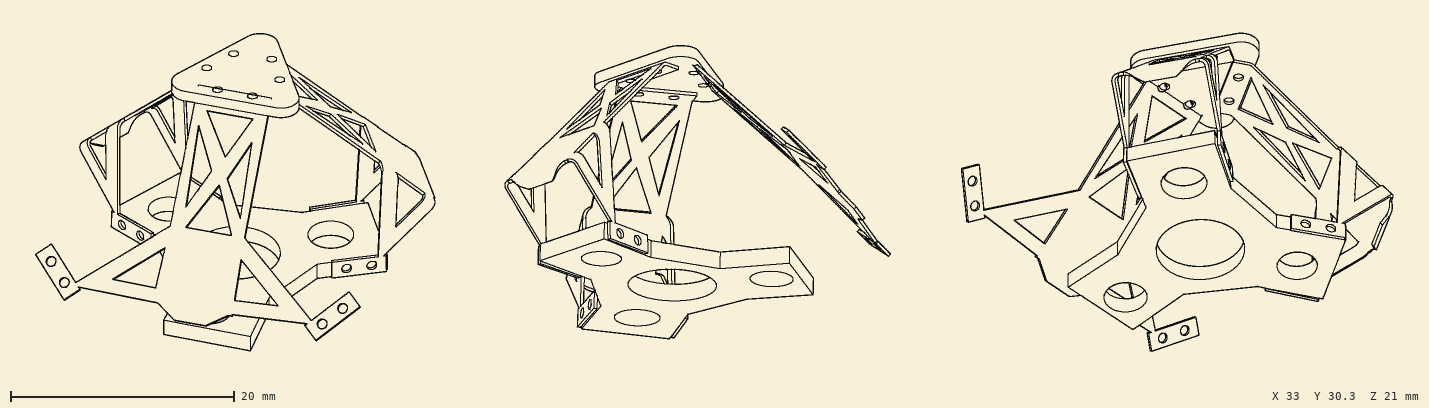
import cadquery as cq
import math

PLATE_TOP = 21.0
PLATE_THICKNESS = 1.05
PLATE_BOTTOM = PLATE_TOP - PLATE_THICKNESS
PLATE_INRADIUS = 4.1
PLATE_CORNER_RADIUS = 1.62

SCREW_DIAMETER = 0.9
SCREW_PITCH = 3.27
SCREW_OFFSET = 0.115
SCREW_RADIAL = 2.97

SHEET = 0.3
OUTER_BEND = 0.73
NEUTRAL_BEND = 0.512
WING_ANGLE = 90
LIP_ANGLE = 90
TAB_ANGLE = 45
LEG_SLOPE = 45
BEND_SECTIONS = 6
QUARTER_BEND = NEUTRAL_BEND * math.pi / 2
EIGHTH_BEND = QUARTER_BEND / 2

PANEL_TOP_LEFT = (-3.37, 0)
PANEL_TOP_RIGHT = (3.5, 0)
WING_ROOT_RIGHT = (3.8, 11.03)
WING_ROOT_LEFT = (-3.15, 11.15)
PANEL_BOTTOM_RIGHT = (4.2, 18.2)
PANEL_BOTTOM_LEFT = (-3.27, 18.2)
WINDOWS = [
    [(-2.1, 0.3), (2.2, 0.3), (0.45, 4.15)],
    [(-2.57, 1.75), (-0.5, 5.6), (-2.1, 9.25)],
    [(2.57, 2.4), (1.05, 6.05), (3.05, 9.37)],
    [(0.45, 6.75), (-1.72, 11.03), (2.57, 11.03)],
]

TAB_LENGTH = 1.45
TAB_INNER_END = 1.98
FLAT_TAB_RADIAL = 2.77
TAB_DEVELOPED = TAB_LENGTH + EIGHTH_BEND

LIP_CENTER = 0.53
LIP_ROOT_HALF = 3.35
LIP_TAPER = 1.45
LIP_LENGTH = 1.3

ARM_SLOPE = 0.92
UPPER_ARM = (0, 2.0)
LOWER_ARM = (5.75, 7.03)
FOOT_CENTER = (9.15, 6.07)
FOOT_LENGTH = 5.0
FOOT_WIDTH = 1.72
FOOT_HOLE_PITCH = 2.3
FOOT_LEAN = 45

BASE_THICKNESS = 1.6
BASE_HEIGHT = 0.255
BASE_TILT_X = 1.0
BASE_TILT_Y = 0.45
ARM_OUTLINE = [(-3.6, -5.95), (-3.63, -12.38), (4.52, -12.4), (4.35, -6.3)]
BASE_BORE = 7.92
BASE_BORE_CENTER = (-0.5, -0.7)
ARM_HOLES = [(3.85, -0.13, -9.8), (4.1, 6.77, 4.5), (3.6, -8.25, 3.8)]

ARM_COUNT = 3
ARM_TURN = 360 / ARM_COUNT


def bend_zone(root, end, angle, length, folded):
    """Strip from the bend line to the flat of a flap; root and end are its spans along the bend."""
    if not folded:
        outline = [(0, root[0]), (length, end[0]), (length, end[1]), (0, root[1])]
        return cq.Workplane("XY").polyline(outline).close().extrude(SHEET)
    wires = []
    for i in range(BEND_SECTIONS + 1):
        part = i / BEND_SECTIONS
        turn = math.radians(angle * part)
        low = root[0] + (end[0] - root[0]) * part
        high = root[1] + (end[1] - root[1]) * part
        corners = []
        for radius, along in [
            (OUTER_BEND, low),
            (OUTER_BEND, high),
            (OUTER_BEND - SHEET, high),
            (OUTER_BEND - SHEET, low),
        ]:
            out = radius * math.sin(turn)
            depth = OUTER_BEND - radius * math.cos(turn)
            corners.append(cq.Vector(out, along, depth))
        wires.append(cq.Wire.makePolygon(corners, close=True))
    return cq.Workplane(cq.Solid.makeLoft(wires))


def place_flat(flat, angle, length, folded):
    """Move a flap's flat part from the bend line to the far side of its bend."""
    if not folded:
        return flat.translate((length, 0, 0))
    turn = math.radians(angle)
    turned = flat.rotate((0, 0, 0), (0, 1, 0), -angle)
    return turned.translate((OUTER_BEND * math.sin(turn), 0, OUTER_BEND * (1 - math.cos(turn))))


def make_wing(folded):
    """Right-hand wing with its bend line on the y axis, reaching out along +x."""
    rise = ARM_SLOPE * QUARTER_BEND
    upper_end = (UPPER_ARM[0] + rise, UPPER_ARM[1] + rise)
    upper = bend_zone(UPPER_ARM, upper_end, WING_ANGLE, QUARTER_BEND, folded)
    lower = bend_zone(LOWER_ARM, LOWER_ARM, WING_ANGLE, QUARTER_BEND, folded)

    foot_sum = FOOT_CENTER[0] + FOOT_CENTER[1]
    upper_reach = (foot_sum - UPPER_ARM[0]) / (1 + ARM_SLOPE)
    apex_out = (LOWER_ARM[0] - UPPER_ARM[1]) / ARM_SLOPE
    inner_edge = foot_sum - FOOT_WIDTH / 2 * math.sqrt(2)
    arms = (
        cq.Workplane("XY")
        .polyline([
            (QUARTER_BEND, upper_end[0]),
            (upper_reach, foot_sum - upper_reach),
            (foot_sum - LOWER_ARM[1], LOWER_ARM[1]),
            (inner_edge - LOWER_ARM[1], LOWER_ARM[1]),
            (QUARTER_BEND, LOWER_ARM[1]),
            (QUARTER_BEND, LOWER_ARM[0]),
            (apex_out, LOWER_ARM[0]),
            (QUARTER_BEND, upper_end[1]),
        ])
        .close()
        .extrude(SHEET)
    )
    foot = cq.Workplane("XY").rect(FOOT_LENGTH, FOOT_WIDTH).extrude(SHEET)
    foot_holes = (
        cq.Workplane("XY")
        .pushPoints([(-FOOT_HOLE_PITCH / 2, 0), (FOOT_HOLE_PITCH / 2, 0)])
        .circle(SCREW_DIAMETER / 2)
        .extrude(SHEET)
    )
    foot = foot.rotate((0, 0, 0), (0, 0, 1), -FOOT_LEAN).translate(FOOT_CENTER + (0,))
    foot_holes = foot_holes.rotate((0, 0, 0), (0, 0, 1), -FOOT_LEAN).translate(FOOT_CENTER + (0,))
    flat = arms.union(foot).cut(foot_holes)
    flat = flat.translate((-QUARTER_BEND, 0, 0))
    flat = place_flat(flat, WING_ANGLE, QUARTER_BEND, folded)
    return flat.union(upper, clean=False).union(lower, clean=False)


def make_lip(folded):
    """Tapered lip, symmetrical about the x axis."""
    bend_half = LIP_ROOT_HALF - LIP_TAPER * QUARTER_BEND
    end_half = LIP_ROOT_HALF - LIP_TAPER * LIP_LENGTH
    flat_length = LIP_LENGTH - QUARTER_BEND
    bend = bend_zone(
        (-LIP_ROOT_HALF, LIP_ROOT_HALF), (-bend_half, bend_half), LIP_ANGLE, QUARTER_BEND, folded
    )
    outline = [(0, -bend_half), (flat_length, -end_half), (flat_length, end_half), (0, bend_half)]
    flat = cq.Workplane("XY").polyline(outline).close().extrude(SHEET)
    return bend.union(place_flat(flat, LIP_ANGLE, QUARTER_BEND, folded), clean=False)


def make_tab(folded):
    """Screw tab as wide as the top of the panel."""
    span = (PANEL_TOP_LEFT[0], PANEL_TOP_RIGHT[0])
    bend = bend_zone(span, span, TAB_ANGLE, EIGHTH_BEND, folded)
    hole_out = TAB_LENGTH - (SCREW_RADIAL - TAB_INNER_END)
    flat = (
        cq.Workplane("XY")
        .polyline([(0, span[0]), (TAB_LENGTH, span[0]), (TAB_LENGTH, span[1]), (0, span[1])])
        .close()
        .extrude(SHEET)
    )
    holes = (
        cq.Workplane("XY")
        .pushPoints([(hole_out, SCREW_OFFSET + side * SCREW_PITCH / 2) for side in (-1, 1)])
        .circle(SCREW_DIAMETER / 2)
        .extrude(SHEET)
    )
    return bend.union(place_flat(flat.cut(holes), TAB_ANGLE, EIGHTH_BEND, folded), clean=False)


def make_leg(folded):
    """One leg in its own panel layout: outer face at z = 0, flaps folding towards +z."""
    leg = (
        cq.Workplane("XY")
        .polyline([
            PANEL_TOP_LEFT,
            PANEL_TOP_RIGHT,
            WING_ROOT_RIGHT,
            PANEL_BOTTOM_RIGHT,
            PANEL_BOTTOM_LEFT,
            WING_ROOT_LEFT,
        ])
        .close()
        .extrude(SHEET)
    )
    for window in WINDOWS:
        leg = leg.cut(cq.Workplane("XY").polyline(window).close().extrude(SHEET))

    wing = make_wing(folded)
    flaps = [
        make_tab(folded).rotate((0, 0, 0), (0, 0, 1), -90),
        make_lip(folded).rotate((0, 0, 0), (0, 0, 1), 90).translate(
            (LIP_CENTER, PANEL_BOTTOM_LEFT[1], 0)
        ),
    ]
    for blank, root, bottom in [
        (wing, WING_ROOT_RIGHT, PANEL_BOTTOM_RIGHT),
        (wing.mirror("YZ"), WING_ROOT_LEFT, PANEL_BOTTOM_LEFT),
    ]:
        lean = math.degrees(math.atan2(root[0] - bottom[0], bottom[1] - root[1]))
        flaps.append(blank.rotate((0, 0, 0), (0, 0, 1), lean).translate(root + (0,)))
    for flap in flaps:
        leg = leg.union(flap, clean=False)
    return leg


def stand_leg(leg, radial, height):
    """Stand a leg on the -Y side with its tab bend line at the given radius and height."""
    slope = math.radians(LEG_SLOPE)
    plane = cq.Plane(
        origin=(0, -radial, height), xDir=(1, 0, 0), normal=(0, math.sin(slope), -math.cos(slope))
    )
    return cq.Workplane(leg.val().moved(cq.Location(plane)))


tab_rise = TAB_DEVELOPED * math.sin(math.radians(LEG_SLOPE))
flat_leg = stand_leg(make_leg(False), FLAT_TAB_RADIAL + tab_rise, PLATE_TOP - tab_rise)

tab_turn = math.radians(TAB_ANGLE)
folded_leg = stand_leg(
    make_leg(True),
    TAB_INNER_END + TAB_LENGTH + OUTER_BEND * math.sin(tab_turn),
    PLATE_BOTTOM - OUTER_BEND * (1 - math.cos(tab_turn)),
)
side_legs = [folded_leg.rotate((0, 0, 0), (0, 0, 1), side * ARM_TURN) for side in (-1, 1)]


def make_plate():
    """Rounded triangle with three pairs of screw holes and a slot for the flat leg."""
    corner_circle = 2 * (2 * PLATE_INRADIUS)
    plate = (
        cq.Workplane("XY", origin=(0, 0, PLATE_BOTTOM))
        .polygon(ARM_COUNT, corner_circle)
        .extrude(PLATE_THICKNESS)
        .rotate((0, 0, 0), (0, 0, 1), 90)
        .edges("|Z")
        .fillet(PLATE_CORNER_RADIUS)
    )
    for turn in range(ARM_COUNT):
        for side in (-1, 1):
            across = SCREW_OFFSET + side * SCREW_PITCH / 2
            hole = (
                cq.Workplane("XY", origin=(across, -SCREW_RADIAL, PLATE_BOTTOM))
                .circle(SCREW_DIAMETER / 2)
                .extrude(PLATE_THICKNESS)
                .rotate((0, 0, 0), (0, 0, 1), turn * ARM_TURN)
            )
            plate = plate.cut(hole)
    return plate.cut(flat_leg)


def make_base():
    """Three-armed plate with a central bore and one hole per arm, tilted into place."""
    outline = []
    for turn in range(ARM_COUNT):
        angle = math.radians(turn * ARM_TURN)
        for x, y in ARM_OUTLINE:
            outline.append((
                x * math.cos(angle) - y * math.sin(angle),
                x * math.sin(angle) + y * math.cos(angle),
            ))
    base = cq.Workplane("XY").polyline(outline).close().extrude(BASE_THICKNESS)
    bores = [(BASE_BORE,) + BASE_BORE_CENTER] + ARM_HOLES
    for diameter, x, y in bores:
        base = base.cut(cq.Workplane("XY").center(x, y).circle(diameter / 2).extrude(BASE_THICKNESS))
    base = base.rotate((0, 0, 0), (1, 0, 0), BASE_TILT_X).rotate((0, 0, 0), (0, 1, 0), BASE_TILT_Y)
    return base.translate((0, 0, BASE_HEIGHT))


plate = make_plate()
base = make_base()
result = cq.Compound.makeCompound([
    plate.val(),
    base.val(),
    flat_leg.val(),
    *[leg.val() for leg in side_legs],
])